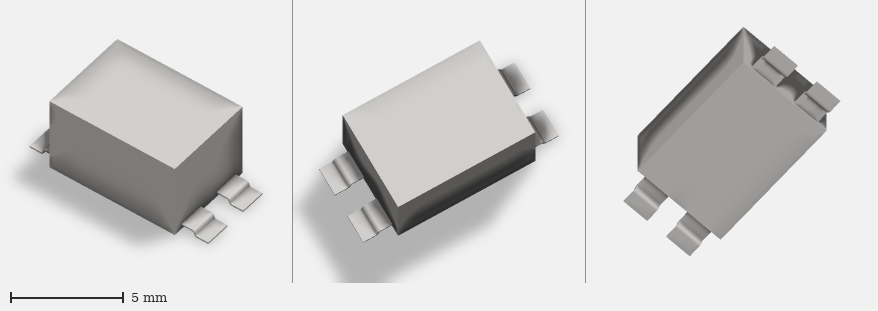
import cadquery as cq
import math

span = 10.01
overall_height = 4.19

housing_length = 7.03
housing_width = 4.95
standoff = 0.06
housing_height = overall_height - standoff

lead_width = 1.4
lead_pitch = 2.54
lead_thickness = 0.09
inner_radius = 0.09
outer_radius = inner_radius + lead_thickness
foot_length = 0.62
bend_rise = 0.27
bend_angle = math.radians(70)

marker_diameter = 0.35
marker_depth = 0.05
marker_x = -1.99
marker_y = lead_pitch / 2


def make_marker():
    return (
        cq.Workplane("XY", origin=(marker_x, marker_y, overall_height - marker_depth))
        .circle(marker_diameter / 2)
        .extrude(marker_depth)
    )


def make_housing(marker):
    block = cq.Workplane("XY", origin=(0, 0, standoff)).box(
        housing_length, housing_width, housing_height, centered=(True, True, False)
    )
    return block.cut(marker)


def make_lead(side, center_y):
    """Build one lead; side is -1 for the -X end and +1 for the +X end."""
    tip_x = -span / 2
    wall_x = -housing_length / 2
    shoulder_top = bend_rise + lead_thickness

    inner_run = inner_radius * math.sin(bend_angle)
    outer_run = outer_radius * math.sin(bend_angle)
    inner_rise = inner_radius * (1 - math.cos(bend_angle))
    outer_rise = outer_radius * (1 - math.cos(bend_angle))

    riser_run = (bend_rise - inner_rise - outer_rise) / math.tan(bend_angle)
    bend_start_x = tip_x + foot_length
    bend_end_x = bend_start_x + inner_run + riser_run + outer_run

    profile = (
        cq.Workplane("XZ")
        .moveTo(tip_x, 0)
        .lineTo(bend_start_x, 0)
        .radiusArc((bend_start_x + outer_run, outer_rise), -outer_radius)
        .lineTo(bend_end_x - inner_run, bend_rise - inner_rise)
        .radiusArc((bend_end_x, bend_rise), inner_radius)
        .lineTo(wall_x, bend_rise)
        .lineTo(wall_x, shoulder_top)
        .lineTo(bend_end_x, shoulder_top)
        .radiusArc((bend_end_x - outer_run, shoulder_top - outer_rise), -outer_radius)
        .lineTo(bend_start_x + inner_run, lead_thickness + inner_rise)
        .radiusArc((bend_start_x, lead_thickness), inner_radius)
        .lineTo(tip_x, lead_thickness)
        .close()
    )
    lead = profile.extrude(lead_width / 2, both=True)
    if side > 0:
        lead = lead.mirror("YZ")
    return lead.translate((0, center_y, 0))


marker = make_marker()
housing = make_housing(marker)
leads = [
    make_lead(side, row * lead_pitch / 2)
    for side in (-1, 1)
    for row in (-1, 1)
]

result = cq.Compound.makeCompound(
    [housing.val(), marker.val(), *[lead.val() for lead in leads]]
)